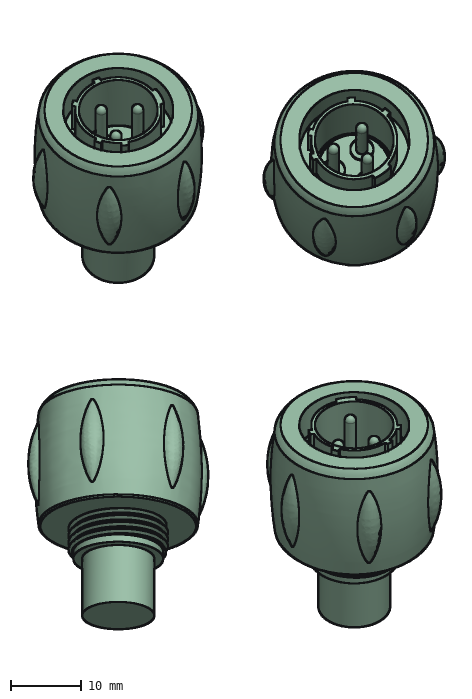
import cadquery as cq
import math

TOTAL_HEIGHT = 32.1
COLLAR_BOTTOM = 8.75
THREAD_BOTTOM = 9.85
KNOB_BOTTOM = 13.75

TUBE_RADIUS = 5.15
COLLAR_RADIUS = 6.42
THREAD_ROOT_RADIUS = 6.5
THREAD_CREST_RADIUS = 7.1
THREAD_PITCH = 25.4 / 24
THREAD_CREST_HEIGHT = 10.83
THREAD_OVERLAP = 0.1
THREAD_FLANK = 0.9

KNOB_END_RADIUS = 11.37
KNOB_BULGE_RADIUS = 11.925
KNOB_TOP_RADIUS = 10.5
KNOB_CHAMFER = 0.27
KNOB_SHOULDER_DROP = 1.2
KNOB_SHOULDER_CURVE = 4.0

RIB_COUNT = 6
RIB_FIRST_ANGLE = 30
RIB_APEX_RADIUS = 13.07
RIB_SECTION_RADIUS = 1.84
RIB_LENGTHWISE_RADIUS = 14.67

SOCKET_RADIUS = 7.84
SOCKET_DEPTH = 5.1
SLEEVE_OUTER_RADIUS = 6.13
SLEEVE_INNER_RADIUS = 5.6
KEY_OUTER_RADIUS = 6.65
MAIN_KEY_ANGLE = 90
MAIN_KEY_WIDTH = 2.92
SMALL_KEY_ANGLES = (185, 235, 310, 345)
SMALL_KEY_WIDTH = 1.05

WELL_DEPTH = 10.0
INSULATOR_RADIUS = 5.16
INSULATOR_STEP = 0.4
PIN_CIRCLE_RADIUS = 3.0
PIN_RADIUS = 0.82
PIN_COLLAR_RADIUS = 1.65
PIN_COLLAR_STEP = 0.3
LONG_PIN_TIP_DEPTH = 0.54
SHORT_PIN_TIP_DEPTH = 1.38
PIN_TIP_DEPTHS = {
    90: LONG_PIN_TIP_DEPTH,
    210: SHORT_PIN_TIP_DEPTH,
    330: SHORT_PIN_TIP_DEPTH,
}

BARREL_BOTTOM = KNOB_BOTTOM + KNOB_CHAMFER
BARREL_TOP = TOTAL_HEIGHT - KNOB_SHOULDER_DROP
BARREL_MIDDLE = (BARREL_BOTTOM + BARREL_TOP) / 2
SOCKET_FLOOR = TOTAL_HEIGHT - SOCKET_DEPTH
WELL_FLOOR = TOTAL_HEIGHT - WELL_DEPTH
INSULATOR_TOP = WELL_FLOOR + INSULATOR_STEP


def cylinder(radius, bottom, top):
    """Upright cylinder on the main axis between two heights."""
    return cq.Workplane("XY").workplane(offset=bottom).circle(radius).extrude(top - bottom)


def make_knob():
    """Solid of revolution with bulged side, rounded shoulder and chamfered foot."""
    profile = (
        cq.Workplane("XZ")
        .moveTo(0, KNOB_BOTTOM)
        .lineTo(KNOB_END_RADIUS - KNOB_CHAMFER, KNOB_BOTTOM)
        .lineTo(KNOB_END_RADIUS, BARREL_BOTTOM)
        .threePointArc((KNOB_BULGE_RADIUS, BARREL_MIDDLE), (KNOB_END_RADIUS, BARREL_TOP))
        .radiusArc((KNOB_TOP_RADIUS, TOTAL_HEIGHT), -KNOB_SHOULDER_CURVE)
        .lineTo(0, TOTAL_HEIGHT)
        .close()
    )
    return profile.revolve(360, (0, 0), (0, 1))


def make_rib(angle):
    """Grip rib: an upright spindle with pointed ends, half sunk into the barrel."""
    axis_radius = RIB_APEX_RADIUS - RIB_SECTION_RADIUS
    arc_center = RIB_SECTION_RADIUS - RIB_LENGTHWISE_RADIUS
    half_length = math.sqrt(RIB_LENGTHWISE_RADIUS**2 - arc_center**2)
    spindle = (
        cq.Workplane("XZ")
        .moveTo(0, -half_length)
        .threePointArc((RIB_SECTION_RADIUS, 0), (0, half_length))
        .close()
        .revolve(360, (0, 0), (0, 1))
    )
    placed = spindle.translate((axis_radius, 0, BARREL_MIDDLE))
    return placed.rotate((0, 0, 0), (0, 0, 1), angle)


def make_thread():
    """Single-start right-hand V thread, trimmed flat at the collar and inside the knob."""
    trim_top = BARREL_BOTTOM
    turns_below = 2
    start = THREAD_CREST_HEIGHT - turns_below * THREAD_PITCH
    turns = math.ceil((trim_top - start) / THREAD_PITCH) + 1
    base_radius = THREAD_ROOT_RADIUS - THREAD_OVERLAP
    half_base = THREAD_PITCH * THREAD_FLANK / 2
    helix_base = cq.Vector(0, 0, start)
    helix = cq.Wire.makeHelix(THREAD_PITCH, turns * THREAD_PITCH, THREAD_ROOT_RADIUS, helix_base)
    ridge = (
        cq.Workplane("XZ")
        .polyline([
            (base_radius, start - half_base),
            (THREAD_CREST_RADIUS, start),
            (base_radius, start + half_base),
        ])
        .close()
        .sweep(cq.Workplane(helix), isFrenet=True)
    )
    trimmed = ridge.intersect(cylinder(2 * THREAD_CREST_RADIUS, THREAD_BOTTOM, trim_top))
    return cylinder(THREAD_ROOT_RADIUS, THREAD_BOTTOM, trim_top).union(trimmed)


def make_key(angle, width):
    """Radial key running the full height of the sleeve."""
    inner = (SLEEVE_INNER_RADIUS + SLEEVE_OUTER_RADIUS) / 2
    key = (
        cq.Workplane("XY")
        .workplane(offset=SOCKET_FLOOR)
        .center((inner + KEY_OUTER_RADIUS) / 2, 0)
        .rect(KEY_OUTER_RADIUS - inner, width)
        .extrude(SOCKET_DEPTH)
        .intersect(cylinder(KEY_OUTER_RADIUS, SOCKET_FLOOR, TOTAL_HEIGHT))
    )
    return key.rotate((0, 0, 0), (0, 0, 1), angle)


def make_pin(angle, tip_depth):
    """Round-nosed contact pin standing in a low collar on the insulator."""
    x = PIN_CIRCLE_RADIUS * math.cos(math.radians(angle))
    y = PIN_CIRCLE_RADIUS * math.sin(math.radians(angle))
    dome_center = TOTAL_HEIGHT - tip_depth - PIN_RADIUS
    pin = cylinder(PIN_RADIUS, WELL_FLOOR, dome_center)
    dome = cq.Workplane("XY").sphere(PIN_RADIUS).translate((0, 0, dome_center))
    collar = cylinder(PIN_COLLAR_RADIUS, WELL_FLOOR, INSULATOR_TOP + PIN_COLLAR_STEP)
    return pin.union(dome).union(collar).translate((x, y, 0))


body = make_knob()
for index in range(RIB_COUNT):
    body = body.union(make_rib(RIB_FIRST_ANGLE + index * 360 / RIB_COUNT))

body = body.cut(cylinder(SOCKET_RADIUS, SOCKET_FLOOR, TOTAL_HEIGHT))
body = body.union(cylinder(SLEEVE_OUTER_RADIUS, SOCKET_FLOOR, TOTAL_HEIGHT))
body = body.cut(cylinder(SLEEVE_INNER_RADIUS, WELL_FLOOR, TOTAL_HEIGHT))
body = body.union(make_key(MAIN_KEY_ANGLE, MAIN_KEY_WIDTH))
for key_angle in SMALL_KEY_ANGLES:
    body = body.union(make_key(key_angle, SMALL_KEY_WIDTH))

body = body.union(cylinder(INSULATOR_RADIUS, WELL_FLOOR, INSULATOR_TOP))
for pin_angle, pin_tip_depth in PIN_TIP_DEPTHS.items():
    body = body.union(make_pin(pin_angle, pin_tip_depth))

body = body.union(make_thread())
body = body.union(cylinder(COLLAR_RADIUS, COLLAR_BOTTOM, THREAD_BOTTOM))
result = body.union(cylinder(TUBE_RADIUS, 0, COLLAR_BOTTOM))